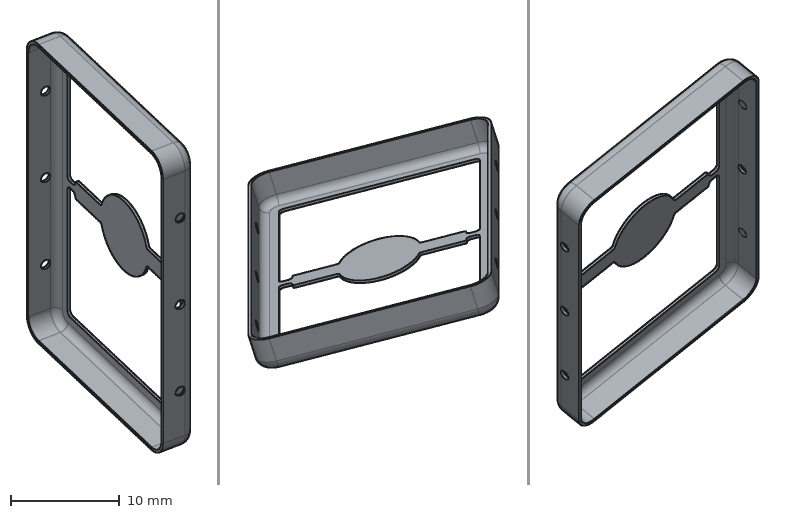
import cadquery as cq

wall = 0.3
width = 23.3
height = 34.5
depth = 3.5
corner_radius = 2.0
back_edge_radius = 1.1

window_inset = 2.0
window_radius = 0.52

disc_diameter = 8.0
bar_width = 2.0
bar_root_radius = 0.25
neck_width = 0.75
neck_length = 1.3
neck_fillet = 0.4
bar_end_fillet = 0.17

hole_diameter = 1.0
hole_spacing = 10.0
blind_hole_depth = 0.2
hole_setback = back_edge_radius + hole_diameter / 2

back_y = depth / 2
window_width = width - 2 * window_inset
window_height = height - 2 * window_inset


def rounded_block(block_width, block_height, length, radius, start_y):
    """Block with rounded corners, extending from start_y toward +Y."""
    return (
        cq.Workplane("XZ", origin=(0, start_y, 0))
        .rect(block_width, block_height)
        .extrude(-length)
        .edges("|Y")
        .fillet(radius)
    )


def make_tray():
    """Thin shell, open at -Y, with a rounded edge around its back panel."""
    outside = rounded_block(width, height, depth, corner_radius, -back_y)
    outside = outside.faces(">Y").edges().fillet(back_edge_radius)
    inside = rounded_block(
        width - 2 * wall, height - 2 * wall, depth - wall, corner_radius - wall, -back_y
    )
    inside = inside.faces(">Y").edges().fillet(back_edge_radius - wall)
    return outside.cut(inside)


def panel_box(box_width, box_height):
    """Centred rectangle with the thickness of the back panel."""
    return cq.Workplane("XY").box(box_width, wall, box_height).translate((0, back_y - wall / 2, 0))


def corner_edges(body, x, z):
    """Through-thickness edges at the four mirrored positions (x, z)."""
    reach = 0.05
    edges = body.edges("|Y")
    return edges.filter(
        lambda edge: abs(abs(edge.Center().x) - x) < reach and abs(abs(edge.Center().z) - z) < reach
    )


def make_openings():
    """Window volume left open around the disc, its bar and the necks."""
    bar_length = window_width - 2 * neck_length
    disc = cq.Workplane("XZ", origin=(0, back_y, 0)).circle(disc_diameter / 2).extrude(wall)
    holder = disc.union(panel_box(bar_length, bar_width))
    holder = holder.union(panel_box(window_width, neck_width))
    openings = panel_box(window_width, window_height).cut(holder)

    half_bar = bar_width / 2
    root_x = ((disc_diameter / 2) ** 2 - half_bar**2) ** 0.5
    half_neck = neck_width / 2
    openings = corner_edges(openings, window_width / 2, window_height / 2).fillet(window_radius)
    openings = corner_edges(openings, window_width / 2, half_neck).fillet(neck_fillet)
    openings = corner_edges(openings, bar_length / 2, half_bar).fillet(bar_end_fillet)
    openings = corner_edges(openings, bar_length / 2, half_neck).fillet(neck_fillet)
    return corner_edges(openings, root_x, half_bar).fillet(bar_root_radius)


def side_hole(start_x, z, length):
    """Cylinder that starts at start_x and extends toward +X."""
    return (
        cq.Workplane("YZ", origin=(start_x, back_y - hole_setback, z))
        .circle(hole_diameter / 2)
        .extrude(length)
    )


def make_side_holes():
    """Middle hole through both walls; outer holes through -X and blind from outside in +X."""
    holes = side_hole(-width / 2, 0, width)
    for z in (-hole_spacing, hole_spacing):
        holes = holes.union(side_hole(-width / 2, z, wall))
        holes = holes.union(side_hole(width / 2 - blind_hole_depth, z, blind_hole_depth))
    return holes


result = make_tray().cut(make_openings()).cut(make_side_holes())